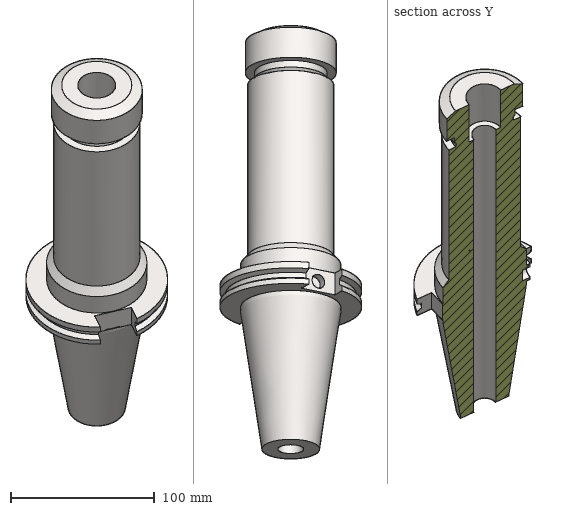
import cadquery as cq

total_height = 304.8
gauge_z = 101.5
flange_bottom_z = 105.0
flange_top_z = 121.0
shoulder_chamfer_z = 136.5
body_bottom_z = 142.0
body_top_z = 269.5
nut_bottom_z = 278.5
nut_chamfer_z = 300.8

gauge_radius = 69.8 / 2
taper_ratio = 7 / 24
taper_end_radius = gauge_radius - gauge_z * taper_ratio / 2
flange_radius = 49.5
body_radius = 60.0 / 2
nut_radius = 31.7
nut_face_radius = 24.5

collar_radius = 25.3
collar_bottom_z = 273.7
collar_chamfer = 0.5
relief_radius = 23.8
relief_z = 272.0
collar_foot_radius = 24.5

groove_radius = 45.7
groove_center_z = 112.5
groove_width = 7.5
groove_floor_width = 3.7

slot_width = 26.8
slot_floor_left = 37.8
slot_floor_right = 35.5

side_hole_diameter = 10.0
side_hole_depth = 6.0

through_diameter = 18.0
collet_diameter = 26.2
collet_depth = 36.5


def turned_body():
    outline = [
        (0, 0),
        (taper_end_radius, 0),
        (gauge_radius, gauge_z),
        (gauge_radius, flange_bottom_z),
        (flange_radius, flange_bottom_z),
        (flange_radius, groove_center_z - groove_width / 2),
        (groove_radius, groove_center_z - groove_floor_width / 2),
        (groove_radius, groove_center_z + groove_floor_width / 2),
        (flange_radius, groove_center_z + groove_width / 2),
        (flange_radius, flange_top_z),
        (gauge_radius, flange_top_z),
        (gauge_radius, shoulder_chamfer_z),
        (body_radius, body_bottom_z),
        (body_radius, body_top_z),
        (collar_foot_radius, body_top_z),
        (relief_radius, relief_z),
        (collar_radius - collar_chamfer, collar_bottom_z - collar_chamfer),
        (collar_radius, collar_bottom_z),
        (collar_radius, nut_bottom_z),
        (nut_radius, nut_bottom_z),
        (nut_radius, nut_chamfer_z),
        (nut_face_radius, total_height),
        (0, total_height),
    ]
    return cq.Workplane("XZ").polyline(outline).close().revolve(360, (0, 0), (0, 1))


def drive_slot(side, floor_distance):
    """Box outside the slot floor on one side (+1 or -1) of the flange."""
    length = flange_radius - floor_distance
    middle = side * (floor_distance + length / 2)
    return (
        cq.Workplane("XY", origin=(middle, 0, flange_bottom_z))
        .rect(length, slot_width)
        .extrude(flange_top_z - flange_bottom_z)
    )


def side_hole():
    return (
        cq.Workplane("YZ", origin=(-slot_floor_left, 0, groove_center_z))
        .circle(side_hole_diameter / 2)
        .extrude(side_hole_depth)
    )


def stepped_bore():
    through = cq.Workplane("XY").circle(through_diameter / 2).extrude(total_height)
    collet = (
        cq.Workplane("XY", origin=(0, 0, total_height - collet_depth))
        .circle(collet_diameter / 2)
        .extrude(collet_depth)
    )
    return through.union(collet)


result = (
    turned_body()
    .cut(drive_slot(-1, slot_floor_left))
    .cut(drive_slot(1, slot_floor_right))
    .cut(side_hole())
    .cut(stepped_bore())
)